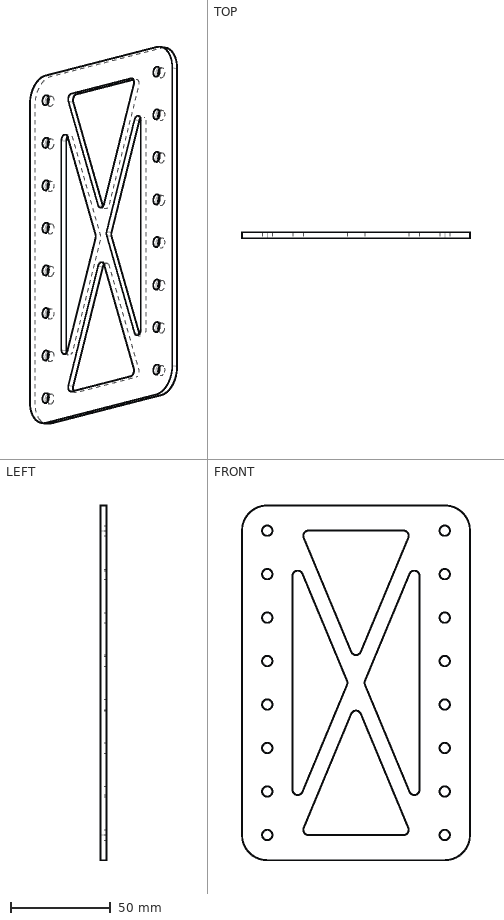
import cadquery as cq
import math

PLATE_WIDTH = 114.3
PLATE_HEIGHT = 177.8
PLATE_THICKNESS = 3.175
CORNER_RADIUS = 12.7

HOLE_DIAMETER = 5.08
HOLES_PER_ROW = 8
HOLE_EDGE_DISTANCE = CORNER_RADIUS

SIDE_MARGIN = 25.4
END_MARGIN = 12.7
STRUT_WIDTH = 7.62
POCKET_RADIUS = 2.54

HALF_OPENING_WIDTH = PLATE_WIDTH / 2 - SIDE_MARGIN
HALF_OPENING_HEIGHT = PLATE_HEIGHT / 2 - END_MARGIN

STRUT_ANGLE = math.atan2(HALF_OPENING_HEIGHT, HALF_OPENING_WIDTH)
STRUT_SLOPE = math.tan(STRUT_ANGLE)

CROSSING_X = STRUT_WIDTH / 2 / math.sin(STRUT_ANGLE)
CROSSING_Z = STRUT_WIDTH / 2 / math.cos(STRUT_ANGLE)


def make_plate():
    """Flat plate with rounded corners."""
    plate = cq.Workplane("XY").box(PLATE_WIDTH, PLATE_THICKNESS, PLATE_HEIGHT)
    return plate.edges("|Y").fillet(CORNER_RADIUS)


def make_holes():
    """Cutters for the two rows of evenly spaced holes."""
    column_spacing = PLATE_WIDTH - 2 * HOLE_EDGE_DISTANCE
    hole_pitch = (PLATE_HEIGHT - 2 * HOLE_EDGE_DISTANCE) / (HOLES_PER_ROW - 1)
    return (
        cq.Workplane("XZ")
        .rarray(column_spacing, hole_pitch, 2, HOLES_PER_ROW)
        .circle(HOLE_DIAMETER / 2)
        .extrude(PLATE_THICKNESS, both=True)
    )


def make_triangle(corners):
    """Cutter for a triangular opening with rounded corners."""
    triangle = cq.Workplane("XZ").polyline(corners).close()
    return triangle.extrude(PLATE_THICKNESS, both=True).edges("|Y").fillet(POCKET_RADIUS)


def make_end_triangle(side):
    """Opening above (side = 1) or below (side = -1) the strut crossing."""
    half_base = (HALF_OPENING_HEIGHT - CROSSING_Z) / STRUT_SLOPE
    base_z = side * HALF_OPENING_HEIGHT
    return make_triangle([(-half_base, base_z), (half_base, base_z), (0, side * CROSSING_Z)])


def make_side_triangle(side):
    """Opening to the right (side = 1) or left (side = -1) of the strut crossing."""
    half_base = (HALF_OPENING_WIDTH - CROSSING_X) * STRUT_SLOPE
    base_x = side * HALF_OPENING_WIDTH
    return make_triangle([(base_x, -half_base), (base_x, half_base), (side * CROSSING_X, 0)])


result = make_plate().cut(make_holes())
for side in (-1, 1):
    result = result.cut(make_end_triangle(side))
    result = result.cut(make_side_triangle(side))